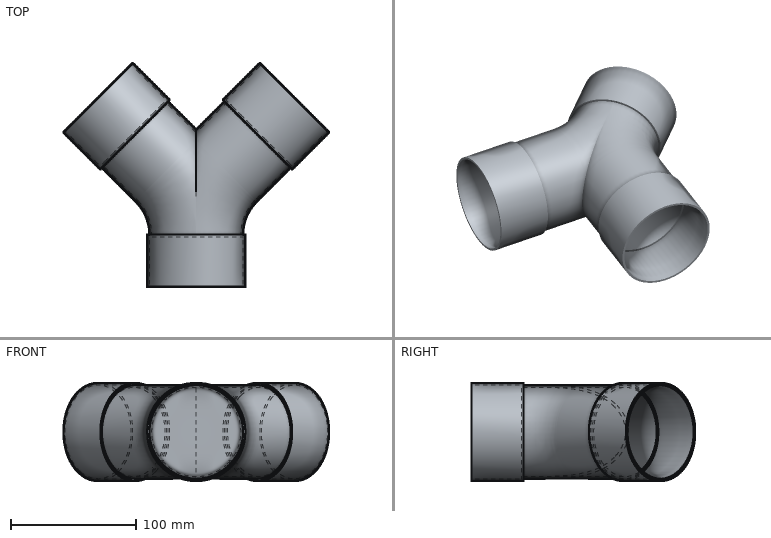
import cadquery as cq
import math

pipe_outer_diameter = 75.0
pipe_bore_diameter = 71.4
socket_outer_diameter = 78.6
socket_bore_diameter = pipe_outer_diameter

wall_thickness = (pipe_outer_diameter - pipe_bore_diameter) / 2

socket_depth = 40.0
socket_length = socket_depth + wall_thickness
straight_length = 38.2
bend_radius = 75.0
bend_angle = 45.0

bend_end_x = bend_radius * (1 - math.cos(math.radians(bend_angle)))
bend_end_y = bend_radius * math.sin(math.radians(bend_angle))
arm_direction = cq.Vector(
    math.sin(math.radians(bend_angle)), math.cos(math.radians(bend_angle)), 0
)
bend_end = cq.Vector(bend_end_x, bend_end_y, 0)
arm_socket_start = bend_end + arm_direction * straight_length
inlet_direction = cq.Vector(0, -1, 0)
inlet_socket_start = cq.Vector(0, 0, 0)


def cylinder(diameter, length, start, direction):
    return cq.Workplane(cq.Solid.makeCylinder(diameter / 2, length, start, direction))


def bend(diameter):
    """Round bend from the inlet plane towards the +X arm."""
    return (
        cq.Workplane("XZ")
        .circle(diameter / 2)
        .revolve(bend_angle, (bend_radius, 0, 0), (bend_radius, -1, 0))
    )


def both_sides(half):
    return half.union(half.mirror("YZ"))


def branches(diameter, straight):
    """Both bends with their straight runs, as solid round bars."""
    arm = cylinder(diameter, straight, bend_end, arm_direction)
    return both_sides(bend(diameter).union(arm))


def socket_body(start, direction):
    return cylinder(socket_outer_diameter, socket_length, start, direction)


def socket_bore(start, direction):
    """Blind bore that leaves the bottom wall at the start of the socket."""
    bottom = start + direction * wall_thickness
    return cylinder(socket_bore_diameter, socket_depth, bottom, direction)


body = branches(pipe_outer_diameter, straight_length)
body = body.union(both_sides(socket_body(arm_socket_start, arm_direction)))
body = body.union(socket_body(inlet_socket_start, inlet_direction))

hollow = branches(pipe_bore_diameter, straight_length + wall_thickness)
result = (
    body.cut(hollow)
    .cut(both_sides(socket_bore(arm_socket_start, arm_direction)))
    .cut(socket_bore(inlet_socket_start, inlet_direction))
)